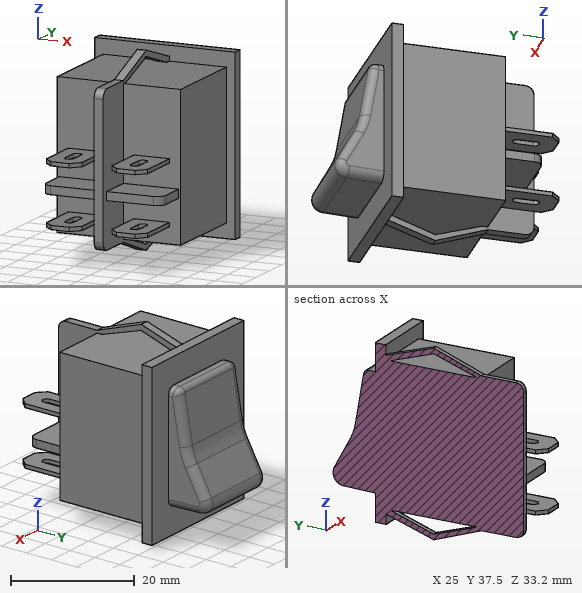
import cadquery as cq


flange_width = 25.0
flange_height = 31.1
flange_thickness = 2.0
body_width = 21.95
body_height = 25.85
body_depth = 17.65
body_rear = -body_depth

fin_thickness = 1.6
fin_height = 26.85
fin_length = 7.8
fin_corner_radius = 1.5
clip_peak_height = 16.6
clip_peak_y = -body_depth / 2
clip_root_height = 13.75
clip_strip_depth = 1.05
clip_foot_inset = 0.97

barrier_width = 21.3
barrier_thickness = 1.5
barrier_length = 6.5
barrier_z = -4.4
barrier_corner_radius = 1.5

blade_width = 6.35
blade_thickness = 0.7
blade_length = 10.0
blade_chamfer = 1.55
blade_offset_x = 5.85
blade_rows_z = (0.9, -9.67)
slot_width = 1.5
slot_length = 4.45
slot_start = 2.7

rocker_width = 16.0
rocker_top_root = (0, 10.57)
rocker_top_corner = (2.05, 10.57)
rocker_valley = (3.97, -0.65)
rocker_tip = (9.15, -10.25)
rocker_bottom_root = (0, -10.5)
rocker_top_radius = 1.0
rocker_valley_radius = 9.5
rocker_tip_radius = 2.02
rocker_side_radius = 1.5


def rear_box(width, length, height, z=0):
    """Box that runs from the rear face of the body towards -Y."""
    return cq.Workplane("XY").box(width, length, height).translate((0, body_rear - length / 2, z))


def make_housing():
    flange = (
        cq.Workplane("XY")
        .box(flange_width, flange_thickness, flange_height)
        .translate((0, flange_thickness / 2, 0))
    )
    body = cq.Workplane("XY").box(body_width, body_depth, body_height).translate((0, body_rear / 2, 0))
    return flange.union(body)


def make_divider_fin():
    fin = rear_box(fin_thickness, fin_length, fin_height)
    return fin.faces("<Y").edges("|X").fillet(fin_corner_radius)


def make_barrier_fin():
    barrier = rear_box(barrier_width, barrier_length, barrier_thickness, barrier_z)
    return barrier.faces("<Y").edges("|Z").fillet(barrier_corner_radius)


def make_clip():
    """Bent spring strip standing on the top face of the body."""
    body_top = body_height / 2
    outline = [
        (0, body_top),
        (0, clip_root_height),
        (clip_peak_y, clip_peak_height),
        (body_rear, fin_height / 2),
        (body_rear, body_top),
        (body_rear + clip_foot_inset, body_top),
        (clip_peak_y, clip_peak_height - clip_strip_depth),
        (-clip_foot_inset, body_top),
    ]
    return cq.Workplane("YZ").polyline(outline).close().extrude(fin_thickness / 2, both=True)


def make_blade(x, z):
    blade = rear_box(blade_width, blade_length, blade_thickness)
    blade = blade.faces("<Y").edges("|Z").chamfer(blade_chamfer)
    slot = (
        cq.Workplane("XY")
        .center(0, body_rear - slot_start - slot_length / 2)
        .slot2D(slot_length, slot_width, 90)
        .extrude(blade_thickness, both=True)
    )
    return blade.cut(slot).translate((x, 0, z))


def make_rocker():
    profile = [rocker_top_root, rocker_top_corner, rocker_valley, rocker_tip, rocker_bottom_root]
    rocker = cq.Workplane("YZ").polyline(profile).close().extrude(rocker_width / 2, both=True)
    corner_radii = (
        (rocker_top_corner, rocker_top_radius),
        (rocker_valley, rocker_valley_radius),
        (rocker_tip, rocker_tip_radius),
    )
    for (y, z), radius in corner_radii:
        corner = cq.selectors.NearestToPointSelector((0, y, z))
        rocker = rocker.edges("|X").edges(corner).fillet(radius)
    side_edges = rocker.faces("<X or >X").edges("not(<Y)")
    rocker = side_edges.fillet(rocker_side_radius)
    return rocker.translate((0, flange_thickness, 0))


clip = make_clip()
result = make_housing().union(make_divider_fin()).union(make_barrier_fin()).union(make_rocker())
result = result.union(clip).union(clip.mirror("XY"))
for row_z in blade_rows_z:
    for side in (-1, 1):
        result = result.union(make_blade(side * blade_offset_x, row_z))